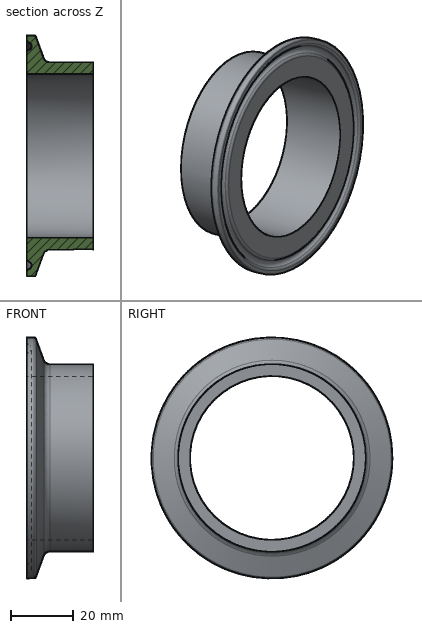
import cadquery as cq
import math

length = 21.5
flange_radius = 38.75
tube_radius = 30.15
bore_radius = 26.3

rim_width = 2.9
taper_angle = math.radians(20)
face_edge_fillet = 0.2
rim_fillet = 0.8
neck_fillet = 2.0

groove_radius = 35.3
groove_depth = 1.55
groove_bottom_arc = 1.25
groove_lip_arc = 0.9
groove_wall_angle = math.radians(70)

AXIS_START = (0, 0, 0)
AXIS_END = (1, 0, 0)


def circle_centered_at(x):
    """Selector for the edge whose center lies on the axis at x."""
    return cq.selectors.NearestToPointSelector((x, 0, 0))


def make_body():
    neck_x = rim_width + (flange_radius - tube_radius) * math.tan(taper_angle)
    body = (
        cq.Workplane("XY")
        .polyline([
            (0, bore_radius),
            (0, flange_radius),
            (rim_width, flange_radius),
            (neck_x, tube_radius),
            (length, tube_radius),
            (length, bore_radius),
        ])
        .close()
        .revolve(360, AXIS_START, AXIS_END)
    )
    body = body.edges(circle_centered_at(neck_x)).fillet(neck_fillet)
    body = body.edges(circle_centered_at(rim_width)).fillet(rim_fillet)
    return body.faces("<X").edges(cq.selectors.RadiusNthSelector(-1)).fillet(face_edge_fillet)


def make_groove():
    """Ring to cut: bottom arc joined by straight walls to tangent lip arcs."""
    wall_bottom_depth = groove_depth - groove_bottom_arc * (1 - math.cos(groove_wall_angle))
    wall_bottom_offset = groove_bottom_arc * math.sin(groove_wall_angle)
    wall_top_depth = groove_lip_arc * (1 - math.cos(groove_wall_angle))
    wall_rise = wall_bottom_depth - wall_top_depth
    wall_top_offset = wall_bottom_offset + wall_rise / math.tan(groove_wall_angle)
    lip_offset = wall_top_offset + groove_lip_arc * math.sin(groove_wall_angle)

    half_angle = groove_wall_angle / 2
    lip_mid_depth = groove_lip_arc * (1 - math.cos(half_angle))
    lip_mid_offset = lip_offset - groove_lip_arc * math.sin(half_angle)

    def at(depth, offset):
        return depth, groove_radius + offset

    return (
        cq.Workplane("XY")
        .moveTo(*at(0, lip_offset))
        .threePointArc(at(lip_mid_depth, lip_mid_offset), at(wall_top_depth, wall_top_offset))
        .lineTo(*at(wall_bottom_depth, wall_bottom_offset))
        .threePointArc(at(groove_depth, 0), at(wall_bottom_depth, -wall_bottom_offset))
        .lineTo(*at(wall_top_depth, -wall_top_offset))
        .threePointArc(at(lip_mid_depth, -lip_mid_offset), at(0, -lip_offset))
        .close()
        .revolve(360, AXIS_START, AXIS_END)
    )


result = make_body().cut(make_groove())